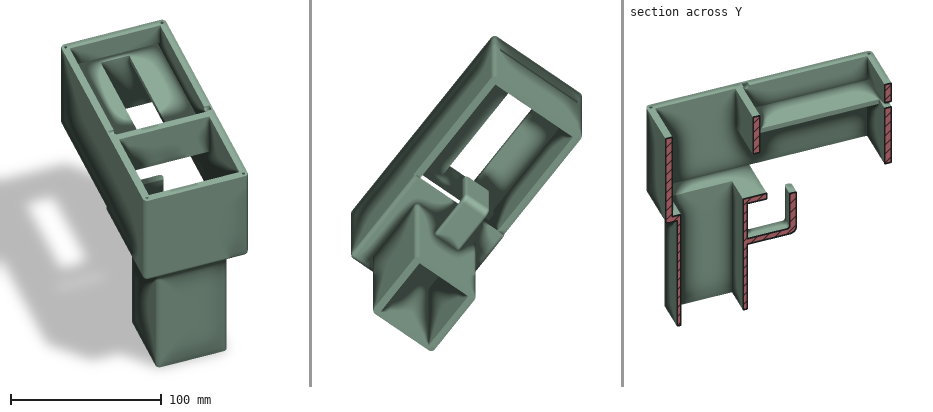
import cadquery as cq

length = 161.0
width = 74.0
total_height = 163.0
wall = 5.0
tube_length = 90.0
corner_radius = 3.0
floor_z = tube_length
step_x = 88.8
step_z = floor_z + wall
housing_height = total_height - floor_z
chamber_width = width - 2 * wall

divider_x = 93.7
right_chamber_x = divider_x + wall
left_chamber_length = divider_x - wall
passage_top_depth = 32.0
passage_height = housing_height - wall - passage_top_depth
right_chamber_length = length - wall - right_chamber_x

shelf_gap = 20.0
shelf_thickness = 3.7
shelf_width = (chamber_width - shelf_gap) / 2
slot_height = 4.4
slot_top_depth = 15.8
shelf_top_z = total_height - slot_top_depth - slot_height

tube_x = 102.5
tube_size_x = 50.2
tube_size_y = 50.0
bore_x = 105.8
bore_size_x = 44.2
bore_size_y = 40.1

hook_x = 67.6
hook_bottom_z = 55.3
hook_thickness = 5.0
hook_edge_radius = 2.0
hook_width = shelf_gap

screw_diameter = 2.1
screw_inset = 3.0
screw_depth = 9.8
pivot_diameter = 4.0
pivot_reach = 3.7
pivot_x = step_x + pivot_diameter / 2
pivot_depth = 0.3


def block(x, y_center, z, size_x, size_y, size_z):
    """Box given by its lowest X, its middle Y and its lowest Z."""
    box = cq.Workplane("XY").box(size_x, size_y, size_z, centered=(False, True, False))
    return box.translate((x, y_center, z))


def make_housing():
    body = block(0, 0, floor_z, length, width, housing_height)
    body = body.edges("|Z").fillet(corner_radius)
    body = body.faces("<Z").edges().fillet(corner_radius)
    body = body.cut(block(0, 0, floor_z, step_x, width, wall))
    body = body.cut(block(wall, 0, step_z, left_chamber_length, chamber_width, housing_height))
    body = body.cut(block(divider_x, 0, step_z, wall, chamber_width, passage_height))
    return body.cut(block(right_chamber_x, 0, step_z, right_chamber_length, chamber_width, housing_height))


def add_shelves(body):
    shelf_z = shelf_top_z - shelf_thickness
    for side in (-1, 1):
        shelf_y = side * (shelf_gap + shelf_width) / 2
        body = body.union(
            block(wall, shelf_y, shelf_z, left_chamber_length, shelf_width, shelf_thickness)
        )
    return body


def make_tube():
    tube = block(tube_x, 0, 0, tube_size_x, tube_size_y, tube_length)
    return tube.edges("|Z").fillet(corner_radius)


def make_hook():
    """L-shaped hook with a rounded elbow and rounded long edges."""
    reach = tube_x - hook_x
    rise = floor_z - hook_bottom_z
    hook = (
        cq.Workplane("XZ", origin=(hook_x, hook_width / 2, hook_bottom_z))
        .moveTo(0, rise)
        .lineTo(0, hook_thickness)
        .radiusArc((hook_thickness, 0), -hook_thickness)
        .lineTo(reach, 0)
        .lineTo(reach, hook_thickness)
        .lineTo(hook_thickness + hook_edge_radius, hook_thickness)
        .radiusArc((hook_thickness, hook_thickness + hook_edge_radius), hook_edge_radius)
        .lineTo(hook_thickness, rise)
        .close()
        .extrude(hook_width)
    )
    return hook.faces("<Y or >Y").edges("not(>Z or >X)").fillet(hook_edge_radius)


def cut_rim_details(body):
    screw_holes = (
        cq.Workplane("XY", origin=(length / 2, 0, total_height))
        .rect(length - 2 * screw_inset, width - 2 * screw_inset, forConstruction=True)
        .vertices()
        .circle(screw_diameter / 2)
        .extrude(-screw_depth)
    )
    pin_length = chamber_width + 2 * pivot_reach
    pivot_pin = (
        cq.Workplane("XZ", origin=(pivot_x, pin_length / 2, total_height - pivot_depth))
        .circle(pivot_diameter / 2)
        .extrude(pin_length)
    )
    return body.cut(screw_holes).cut(pivot_pin)


entry_slot = block(0, 0, shelf_top_z, wall, chamber_width, slot_height)
bore = block(bore_x, 0, 0, bore_size_x, bore_size_y, step_z)

housing = cut_rim_details(add_shelves(make_housing()).cut(entry_slot))
result = housing.union(make_tube()).union(make_hook()).cut(bore)